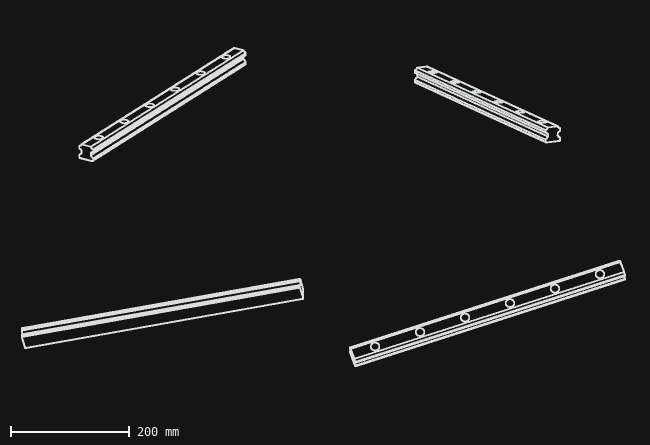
import cadquery as cq

length = 480.0
width = 28.0
height = 26.0

top_half = 9.5
neck_half = 9.0
groove_lip_half = 12.5
side_half = width / 2

upper_lip_height = 22.5
head_side_top = 21.5
head_side_bottom = 18.0
lower_lip_height = 17.0
neck_top = 13.5
foot_side_top = 5.5
neck_bottom = foot_side_top + side_half - neck_half
foot_chamfer = 1.5

groove_sag = 0.7

hole_count = 6
hole_pitch = length / hole_count
hole_diameter = 14.5
cap_recess = 0.1


def groove_middle(start, end):
    """Return the deepest point of a groove arc that bows toward the rail centre."""
    dx = end[0] - start[0]
    dz = end[1] - start[1]
    chord = (dx**2 + dz**2) ** 0.5
    middle_x = (start[0] + end[0]) / 2 + groove_sag * dz / chord
    middle_z = (start[1] + end[1]) / 2 - groove_sag * dx / chord
    return (middle_x, middle_z)


def make_rail():
    """Extrude the right half of the profile along Y and mirror it across X = 0."""
    top_corner = (top_half, height)
    upper_lip = (groove_lip_half, upper_lip_height)
    lower_lip = (groove_lip_half, lower_lip_height)
    neck_corner = (neck_half, neck_top)
    half = (
        cq.Workplane("XZ", origin=(0, length / 2, 0))
        .moveTo(0, height)
        .lineTo(*top_corner)
        .threePointArc(groove_middle(top_corner, upper_lip), upper_lip)
        .lineTo(side_half, head_side_top)
        .lineTo(side_half, head_side_bottom)
        .lineTo(*lower_lip)
        .threePointArc(groove_middle(lower_lip, neck_corner), neck_corner)
        .lineTo(neck_half, neck_bottom)
        .lineTo(side_half, foot_side_top)
        .lineTo(side_half, foot_chamfer)
        .lineTo(side_half - foot_chamfer, 0)
        .lineTo(0, 0)
        .close()
        .extrude(length)
    )
    return half.union(half.mirror("YZ"))


def cut_hole_recesses(rail):
    """Sink the circular hole caps below the top face."""
    recesses = (
        cq.Workplane("XY", origin=(0, 0, height - cap_recess))
        .rarray(5, hole_pitch, 1, hole_count)
        .circle(hole_diameter / 2)
        .extrude(cap_recess)
    )
    return rail.cut(recesses)


result = cut_hole_recesses(make_rail())